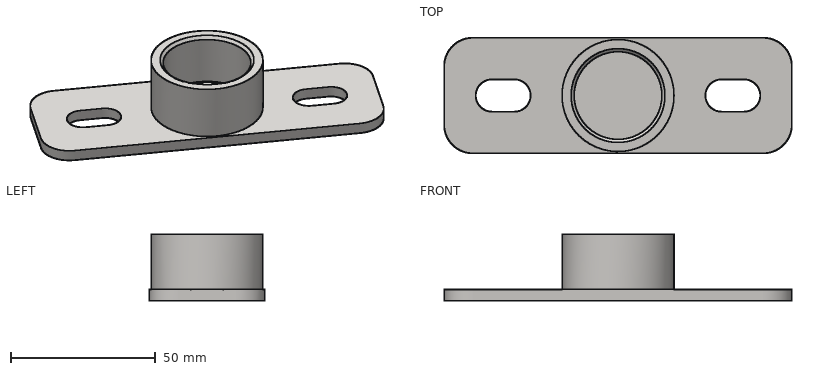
import cadquery as cq

plate_length = 120.0
plate_width = 40.0
plate_thickness = 4.0
corner_radius = 10.0

total_height = 23.0
socket_diameter = 38.6
bore_diameter = 30.2
bore_mouth_diameter = 32.4

slot_length = 18.8
slot_width = 11.0
slot_offset = 39.6


def make_plate():
    """Rounded plate with one through slot on each side of the socket."""
    plate = (
        cq.Workplane("XY")
        .box(plate_length, plate_width, plate_thickness, centered=(True, True, False))
        .edges("|Z")
        .fillet(corner_radius)
    )
    return (
        plate.faces(">Z")
        .workplane()
        .pushPoints([(-slot_offset, 0), (slot_offset, 0)])
        .slot2D(slot_length, slot_width)
        .cutThruAll()
    )


def make_socket():
    """Open tube on the plate, with a 45 degree chamfer at both ends of the bore."""
    mouth_chamfer = (bore_mouth_diameter - bore_diameter) / 2
    return (
        cq.Workplane("XY")
        .workplane(offset=plate_thickness)
        .circle(socket_diameter / 2)
        .circle(bore_diameter / 2)
        .extrude(total_height - plate_thickness)
        .faces(">Z")
        .edges(cq.selectors.RadiusNthSelector(0))
        .chamfer(mouth_chamfer)
        .faces("<Z")
        .edges(cq.selectors.RadiusNthSelector(0))
        .chamfer(mouth_chamfer)
    )


result = make_plate().union(make_socket())